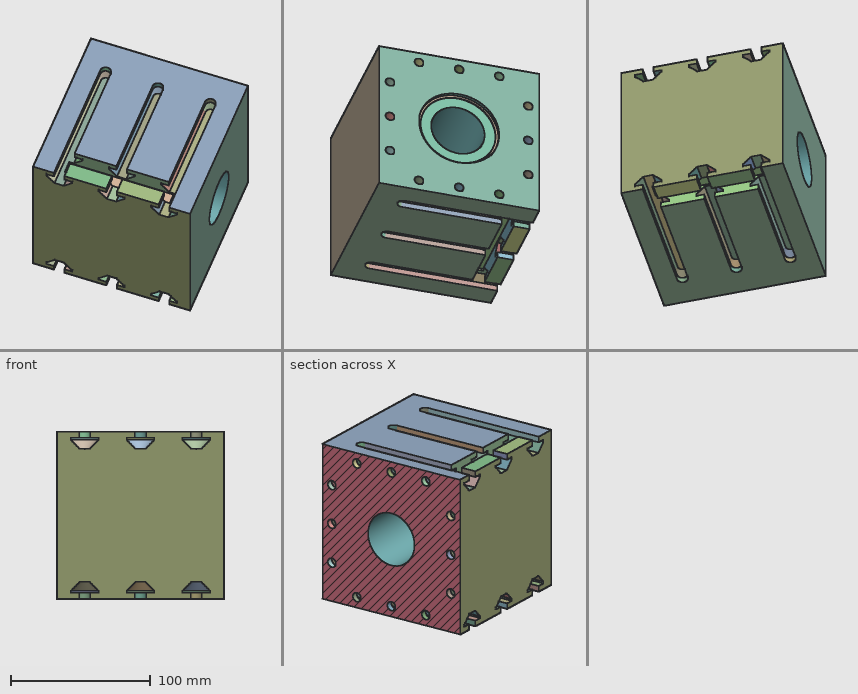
import cadquery as cq

side = 120.0
half = side / 2

slot_pitch = side / 3
slot_end_centre = 96.0
neck_width = 8.0
neck_depth = 4.5
head_width = 19.9
head_straight = 1.5
slot_depth = 12.4
floor_width = 7.1

cross_width = 9.0
cross_depth = 14.0
cross_front_gap = 12.0

bore_diameter = 40.0
outer_step_diameter = 60.0
outer_step_depth = 2.5
inner_step_diameter = 56.0
inner_step_depth = 3.0

hole_diameter = 6.6
hole_depth = 9.6
hole_row_offset = 51.7
hole_pitch = 30.0


def t_slot(x):
    """T-slot cutter for the top face: a half profile swept along Y, mirrored, with a turned end."""
    top = half
    shoulder = top - neck_depth
    profile = [
        (0, top),
        (neck_width / 2, top),
        (neck_width / 2, shoulder),
        (head_width / 2, shoulder),
        (head_width / 2, shoulder - head_straight),
        (floor_width / 2, top - slot_depth),
        (0, top - slot_depth),
    ]
    half_run = cq.Workplane("XZ").polyline(profile).close().extrude(slot_end_centre)
    run = half_run.union(half_run.mirror("YZ"))
    rounded_end = cq.Workplane("XZ").polyline(profile).close().revolve(360, (0, 0), (0, 1))
    return run.union(rounded_end).translate((x, slot_end_centre - half, 0))


def cross_slot():
    """Rectangular slot running from the first T-slot to the last, a little deeper than their floors."""
    return (
        cq.Workplane("XY")
        .box(2 * slot_pitch, cross_width, cross_depth, centered=(True, False, False))
        .translate((0, cross_front_gap - half, half - cross_depth))
    )


def cylinder_into_left_face(diameter, depth, y=0, z=0):
    """Round cutter entering the -X face at (y, z)."""
    return cq.Workplane("YZ", origin=(-half, y, z)).circle(diameter / 2).extrude(depth)


result = cq.Workplane("XY").box(side, side, side)

top_slots = cross_slot()
for step in (-1, 0, 1):
    top_slots = top_slots.union(t_slot(step * slot_pitch))
result = result.cut(top_slots).cut(top_slots.mirror("XY"))

result = result.cut(cylinder_into_left_face(bore_diameter, side))
result = result.cut(cylinder_into_left_face(outer_step_diameter, outer_step_depth))
result = result.cut(cylinder_into_left_face(inner_step_diameter, inner_step_depth))

for along in (-hole_pitch, 0, hole_pitch):
    for offset in (-hole_row_offset, hole_row_offset):
        result = result.cut(cylinder_into_left_face(hole_diameter, hole_depth, along, offset))
        result = result.cut(cylinder_into_left_face(hole_diameter, hole_depth, offset, along))